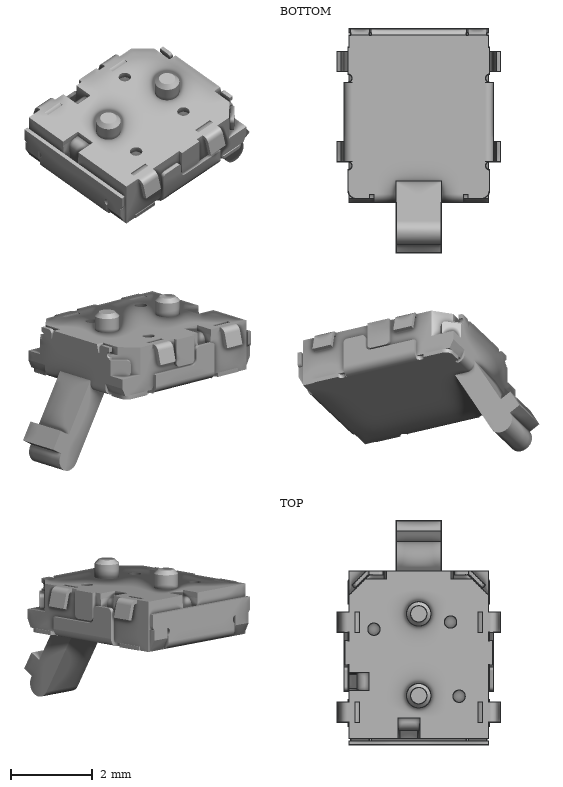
import cadquery as cq
import math


SHEET = 0.1
BEND_RADIUS = 2 * SHEET
CORNER_RADIUS = 0.1

BODY_WIDTH = 3.42
BODY_LENGTH = 4.1
BODY_TOP = 1.25
HALF_WIDTH = BODY_WIDTH / 2
BACK = BODY_LENGTH / 2
FRONT = -BACK
BACK_BEVEL_RUN = 0.105
BACK_BEVEL_TOP = 0.31
FLOOR_FRONT = -1.755
LEDGE_TOP = 0.55

CORNER_LEG = 0.6
BUMP_PROUD = 0.1
BUMP_Y = (-0.245, 0.345)

FOOT_PROUD = 0.155
FOOT_X = (1.205, 1.665)
FOOT_TAPER_TOP = 0.295

NOTCH_DEPTH = 0.5
NOTCH_DRAFT = 0.05
TONGUE_SETBACK = 0.2
TONGUE_DROP = 0.14
TONGUE_RADIUS = 0.2
FRONT_NOTCH_X, FRONT_NOTCH_WIDTH = -0.24, 0.53
LEFT_NOTCH_Y, LEFT_NOTCH_WIDTH = -0.65, 0.445

TAB_SLOT_DEPTH = 0.205
TAB_SLOT_FLOOR = 1.04
TAB_SLOT_END = 0.785
TAB_SLOT_DRAFT = 0.06

PIN_DIAMETER = 0.6
PIN_SPACING = 2.0
PIN_TOP = 1.7
PIN_CHAMFER = 0.1
HOLE_DIAMETER = 0.3
HOLE_DEPTH = 0.15
HOLE_CENTRES = [(-1.095, 0.625), (0.78, 0.8), (0.985, -1.015)]

WALL_TOP = 0.94
FRONT_WALL_FACE = FRONT - FOOT_PROUD
FRONT_TONGUE_HALF = 1.165

SIDE_GAP = 0.02
SIDE_FACE = HALF_WIDTH + SIDE_GAP + SHEET
SIDE_Y = (-0.895, 1.045)
SIDE_LOW_TOP = 0.495
SIDE_STEP_Y = -0.295
SIDE_STEP_RADIUS = 0.15

FLOOR_HALF = SIDE_FACE - BEND_RADIUS
LEDGE_HALF = SIDE_FACE - SHEET
BACK_FOLD_HALF = 1.095

TAB_X = (0.87, 1.22)
TAB_RELIEF_RADIUS = 0.075
TAB_RELIEF_Z = 1.06
WING_GAP = 0.02
WING_END = 0.23

CLIP_WIDTH = 0.5
CLIP_CENTRES_Y = (0.8, -1.405)
CLIP_REACH = 2.0
CLIP_BEND_X = 1.75
CLIP_BEND_RADIUS = 0.165
CLIP_BEND_ANGLE = math.radians(75)
CLIP_ROOT_X = (1.445, 1.56)
CLIP_ROOT_DROP = 0.045

LEVER_WIDTH = 1.105
LEVER_THICKNESS = 0.6
LEVER_ANGLE = 120
LEVER_END_Y = 3.275
LEVER_BOTTOM = -1.88
LEVER_LENGTH = 2.19
CATCH_SPAN = (0.04, 0.535)
CATCH_HEIGHT = 0.3


def block(x_range, y_range, z_range):
    """Axis-aligned box between three coordinate pairs."""
    low = [min(pair) for pair in (x_range, y_range, z_range)]
    size = [abs(pair[1] - pair[0]) for pair in (x_range, y_range, z_range)]
    return cq.Workplane("XY").box(*size, centered=False).translate(tuple(low))


def both_sides(shape):
    """The shape together with its mirror image across the YZ plane."""
    return shape.union(shape.mirror("YZ"))


def prism(plane, corners, length):
    """Prism centred on the plane; corners are (u, v, radius) with radius 0 for sharp."""
    outline = None
    for i, (u, v, radius) in enumerate(corners):
        corner = cq.Vector(u, v)
        to_last = (cq.Vector(*corners[i - 1][:2]) - corner).normalized()
        to_next = (cq.Vector(*corners[(i + 1) % len(corners)][:2]) - corner).normalized()
        half_angle = to_last.getAngle(to_next) / 2
        setback = radius / math.tan(half_angle)
        start = corner + to_last * setback
        if outline is None:
            outline = cq.Workplane(plane).moveTo(start.x, start.y)
        else:
            outline = outline.lineTo(start.x, start.y)
        if radius:
            end = corner + to_next * setback
            inward = (to_last + to_next).normalized()
            middle = corner + inward * (radius / math.sin(half_angle) - radius)
            outline = outline.threePointArc((middle.x, middle.y), (end.x, end.y))
    return outline.close().extrude(length / 2, both=True)


def folded_wall(plane, face, top, length):
    """Sheet folded up from the cover floor, with its outer surface at `face`."""
    out = math.copysign(1, face)
    inner = face - out * SHEET
    root = face - out * 2 * BEND_RADIUS
    return prism(
        plane,
        [
            (root, 0, 0),
            (face, 0, BEND_RADIUS),
            (face, top, 0),
            (inner, top, 0),
            (inner, SHEET, BEND_RADIUS - SHEET),
            (root, SHEET, 0),
        ],
        length,
    )


def contact_notch(width):
    """Cutter for a notch open towards -Y at y = 0, leaving a rounded tongue inside."""
    drafted_from = BODY_TOP - TONGUE_DROP
    floor_half = width / 2 - NOTCH_DRAFT
    opening = prism(
        "XZ",
        [
            (-floor_half, LEDGE_TOP, 0),
            (floor_half, LEDGE_TOP, 0),
            (width / 2, drafted_from, 0),
            (width / 2, BODY_TOP, 0),
            (-width / 2, BODY_TOP, 0),
            (-width / 2, drafted_from, 0),
        ],
        2 * NOTCH_DEPTH,
    )
    tongue = prism(
        "YZ",
        [
            (TONGUE_SETBACK, LEDGE_TOP, 0),
            (NOTCH_DEPTH, LEDGE_TOP, 0),
            (NOTCH_DEPTH, drafted_from, 0),
            (TONGUE_SETBACK, drafted_from, TONGUE_RADIUS),
        ],
        width,
    )
    return opening.cut(tongue)


def make_body():
    body = prism(
        "YZ",
        [
            (FRONT, 0, 0),
            (FLOOR_FRONT, 0, 0),
            (FLOOR_FRONT, SHEET, 0),
            (BACK - BACK_BEVEL_RUN, SHEET, 0),
            (BACK, BACK_BEVEL_TOP, 0),
            (BACK, BODY_TOP, 0),
            (FRONT, BODY_TOP, 0),
        ],
        BODY_WIDTH,
    )

    bumps = prism(
        "YZ",
        [
            (BUMP_Y[0], LEDGE_TOP, CORNER_RADIUS),
            (BUMP_Y[1], LEDGE_TOP, CORNER_RADIUS),
            (BUMP_Y[1], BODY_TOP, 0),
            (BUMP_Y[0], BODY_TOP, 0),
        ],
        BODY_WIDTH + 2 * BUMP_PROUD,
    )

    foot_width = FOOT_X[1] - FOOT_X[0]
    foot = prism(
        "YZ",
        [
            (FRONT, 0, 0),
            (FRONT, LEDGE_TOP, 0),
            (FRONT_WALL_FACE, LEDGE_TOP, 0),
            (FRONT_WALL_FACE, FOOT_TAPER_TOP, 0),
        ],
        foot_width,
    ).translate((FOOT_X[0] + foot_width / 2, 0, 0))

    corner_cut = prism(
        "XY",
        [
            (HALF_WIDTH, BACK, 0),
            (HALF_WIDTH - CORNER_LEG, BACK, 0),
            (HALF_WIDTH, BACK - CORNER_LEG, 0),
        ],
        2 * (BODY_TOP - LEDGE_TOP),
    ).translate((0, 0, BODY_TOP))

    tab_slot = prism(
        "XZ",
        [
            (TAB_SLOT_END, BODY_TOP, 0),
            (TAB_SLOT_END + TAB_SLOT_DRAFT, TAB_SLOT_FLOOR, 0),
            (HALF_WIDTH, TAB_SLOT_FLOOR, 0),
            (HALF_WIDTH, BODY_TOP, 0),
        ],
        2 * TAB_SLOT_DEPTH,
    ).translate((0, BACK, 0))

    root_inner, root_outer = CLIP_ROOT_X
    clip_root = prism(
        "XZ",
        [
            (root_outer, BODY_TOP, 0),
            (root_inner, BODY_TOP, 0),
            (root_inner, BODY_TOP - CLIP_ROOT_DROP, 0),
        ],
        CLIP_WIDTH,
    )

    front_notch = contact_notch(FRONT_NOTCH_WIDTH).translate((FRONT_NOTCH_X, FRONT, 0))
    left_notch = contact_notch(LEFT_NOTCH_WIDTH).rotate((0, 0, 0), (0, 0, 1), -90)
    left_notch = left_notch.translate((-HALF_WIDTH, LEFT_NOTCH_Y, 0))

    body = body.union(bumps).union(both_sides(foot))
    body = body.cut(both_sides(corner_cut)).cut(both_sides(tab_slot))
    for y in CLIP_CENTRES_Y:
        body = body.cut(both_sides(clip_root.translate((0, y, 0))))
    return body.cut(front_notch).cut(left_notch)


def make_cover_floor():
    floor = block((-FLOOR_HALF, FLOOR_HALF), (FLOOR_FRONT, BACK - BEND_RADIUS), (0, SHEET))
    front_ledge = block((FOOT_X[0], LEDGE_HALF), (FLOOR_FRONT, SIDE_Y[0]), (0, SHEET))
    back_ledge = block((FOOT_X[0], LEDGE_HALF), (SIDE_Y[1], BACK - BACK_BEVEL_RUN), (0, SHEET))
    back_ledge = back_ledge.edges("|Z and >X and >Y").fillet(BEND_RADIUS)
    reliefs = (
        cq.Workplane("XY")
        .pushPoints([
            (LEDGE_HALF, SIDE_Y[0] - CORNER_RADIUS),
            (LEDGE_HALF, SIDE_Y[1] + CORNER_RADIUS),
        ])
        .circle(CORNER_RADIUS)
        .extrude(SHEET)
    )
    ledges = front_ledge.union(back_ledge).cut(reliefs)
    return floor.union(both_sides(ledges))


def make_front_wall():
    wall = folded_wall("YZ", FRONT_WALL_FACE, WALL_TOP, BODY_WIDTH)
    outline = prism(
        "XZ",
        [
            (-FRONT_TONGUE_HALF, 0, 0),
            (FRONT_TONGUE_HALF, 0, 0),
            (FRONT_TONGUE_HALF, LEDGE_TOP, 0),
            (HALF_WIDTH, LEDGE_TOP, CORNER_RADIUS),
            (HALF_WIDTH, WALL_TOP, 0),
            (-HALF_WIDTH, WALL_TOP, 0),
            (-HALF_WIDTH, LEDGE_TOP, CORNER_RADIUS),
            (-FRONT_TONGUE_HALF, LEDGE_TOP, 0),
        ],
        2 * BODY_LENGTH,
    )
    relief = (
        cq.Workplane("XZ")
        .center(FOOT_X[0], LEDGE_TOP - CORNER_RADIUS)
        .circle(CORNER_RADIUS)
        .extrude(BODY_LENGTH)
    )
    return wall.intersect(outline).cut(both_sides(relief))


def make_side_wall():
    near, far = SIDE_Y
    wall = folded_wall("XZ", SIDE_FACE, WALL_TOP, BODY_LENGTH)
    outline = prism(
        "YZ",
        [
            (near, 0, 0),
            (far, 0, 0),
            (far, SIDE_LOW_TOP, 0),
            (SIDE_STEP_Y, SIDE_LOW_TOP, SIDE_STEP_RADIUS),
            (SIDE_STEP_Y, WALL_TOP, CORNER_RADIUS),
            (near, WALL_TOP, CORNER_RADIUS),
        ],
        2 * BODY_WIDTH,
    )
    return wall.intersect(outline)


def make_back_tab():
    """Upright tab in the back edge and the 45 degree wing in front of the corner cut."""
    tab_outer = TAB_X[1]
    tab_front = BACK - SHEET
    tab = block(TAB_X, (tab_front, BACK), (LEDGE_TOP, BODY_TOP))
    tab = tab.edges("|Y and >Z and <X").fillet(CORNER_RADIUS)
    relief = (
        cq.Workplane("XZ")
        .center(tab_outer, TAB_RELIEF_Z)
        .circle(TAB_RELIEF_RADIUS)
        .extrude(-BODY_LENGTH)
    )

    def wing_end(offset):
        """Free end of the wing at a distance outwards from the corner cut."""
        diagonal = math.sqrt(2)
        x = HALF_WIDTH + (offset - WING_END) / diagonal
        y = BACK - CORNER_LEG + (offset + WING_END) / diagonal
        return x, y

    def wing_root_x(offset, y):
        """X where the wing surface at that distance reaches y."""
        return HALF_WIDTH - CORNER_LEG + BACK - y + offset * math.sqrt(2)

    outer_offset = WING_GAP + SHEET
    wing = (
        cq.Workplane("XY", origin=(0, 0, LEDGE_TOP))
        .polyline([
            wing_end(WING_GAP),
            wing_end(outer_offset),
            (wing_root_x(outer_offset, BACK), BACK),
            (tab_outer, BACK),
            (tab_outer, tab_front),
            (wing_root_x(WING_GAP, tab_front), tab_front),
        ])
        .close()
        .extrude(WALL_TOP - LEDGE_TOP)
    )
    across_sheet = cq.selectors.ParallelDirSelector(cq.Vector(1, 1, 0))
    wing = wing.edges(across_sheet).fillet(CORNER_RADIUS)
    return tab.cut(relief).union(wing)


def make_clip():
    top = BODY_TOP
    centre_z = top - CLIP_BEND_RADIUS
    inner_radius = CLIP_BEND_RADIUS - SHEET
    down = (math.cos(CLIP_BEND_ANGLE), -math.sin(CLIP_BEND_ANGLE))

    def on_bend(radius, angle):
        return CLIP_BEND_X + radius * math.sin(angle), centre_z + radius * math.cos(angle)

    outer_end = on_bend(CLIP_BEND_RADIUS, CLIP_BEND_ANGLE)
    inner_end = on_bend(inner_radius, CLIP_BEND_ANGLE)
    leg = (CLIP_REACH - outer_end[0]) / down[0]
    root_x = CLIP_ROOT_X[1]
    return (
        cq.Workplane("XZ")
        .moveTo(root_x, top)
        .lineTo(CLIP_BEND_X, top)
        .threePointArc(on_bend(CLIP_BEND_RADIUS, CLIP_BEND_ANGLE / 2), outer_end)
        .lineTo(outer_end[0] + leg * down[0], outer_end[1] + leg * down[1])
        .lineTo(inner_end[0] + leg * down[0], inner_end[1] + leg * down[1])
        .lineTo(*inner_end)
        .threePointArc(on_bend(inner_radius, CLIP_BEND_ANGLE / 2), (CLIP_BEND_X, top - SHEET))
        .lineTo(root_x, top - SHEET)
        .close()
        .extrude(CLIP_WIDTH / 2, both=True)
    )


def make_lever():
    """Lever drawn along +Y from its round tip, then swung about the tip centre."""
    half = LEVER_THICKNESS / 2
    x_range = (-LEVER_WIDTH / 2, LEVER_WIDTH / 2)
    tip = cq.Workplane("YZ").circle(half).extrude(LEVER_WIDTH / 2, both=True)
    arm = block(x_range, (0, LEVER_LENGTH), (-half, half))
    catch = block(x_range, CATCH_SPAN, (-half - CATCH_HEIGHT, 0))
    lever = tip.union(arm).union(catch)
    lever = lever.rotate((0, 0, 0), (1, 0, 0), LEVER_ANGLE)
    swing = math.radians(LEVER_ANGLE)
    corner_reach = CATCH_SPAN[0] * math.cos(swing) + (half + CATCH_HEIGHT) * math.sin(swing)
    return lever.translate((0, LEVER_END_Y - corner_reach, LEVER_BOTTOM + half))


def make_pins():
    return (
        cq.Workplane("XY", origin=(0, 0, BODY_TOP))
        .pushPoints([(0, -PIN_SPACING / 2), (0, PIN_SPACING / 2)])
        .circle(PIN_DIAMETER / 2)
        .extrude(PIN_TOP - BODY_TOP)
        .faces(">Z")
        .chamfer(PIN_CHAMFER)
    )


result = make_body().union(make_cover_floor()).union(make_front_wall())
result = result.union(folded_wall("YZ", BACK, LEDGE_TOP, 2 * BACK_FOLD_HALF))
result = result.union(both_sides(make_side_wall())).union(both_sides(make_back_tab()))
for clip_y in CLIP_CENTRES_Y:
    result = result.union(both_sides(make_clip().translate((0, clip_y, 0))))
result = result.union(make_lever()).union(make_pins())

holes = (
    cq.Workplane("XY", origin=(0, 0, BODY_TOP))
    .pushPoints(HOLE_CENTRES)
    .circle(HOLE_DIAMETER / 2)
    .extrude(-HOLE_DEPTH)
)
result = result.cut(holes)